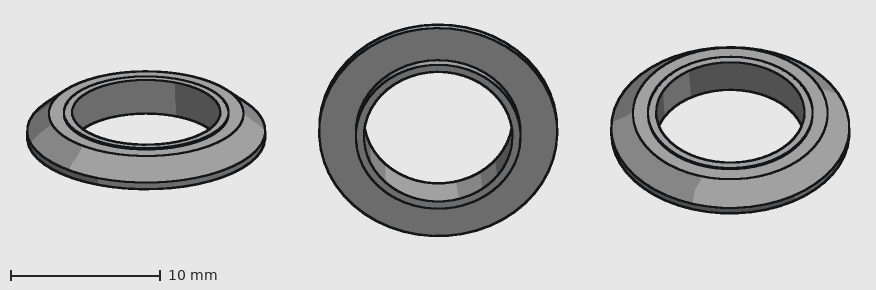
import cadquery as cq

bore_diameter = 9.9
sleeve_diameter = 11.0
flange_top_diameter = 13.0
flange_diameter = 15.9

total_height = 2.5
lower_sleeve_height = 0.63
rim_height = 0.5
upper_lip_height = 0.1

rim_top = lower_sleeve_height + rim_height
flange_top = total_height - upper_lip_height


def make_sleeve():
    """Straight tube that runs the full height of the part."""
    return cq.Workplane("XY").circle(sleeve_diameter / 2).extrude(total_height)


def make_flange():
    """Disc with a short vertical rim and a conical shoulder above it."""
    profile = (
        cq.Workplane("XZ")
        .moveTo(0, lower_sleeve_height)
        .lineTo(flange_diameter / 2, lower_sleeve_height)
        .lineTo(flange_diameter / 2, rim_top)
        .lineTo(flange_top_diameter / 2, flange_top)
        .lineTo(0, flange_top)
        .close()
    )
    return profile.revolve(360, (0, 0, 0), (0, 1, 0))


def make_bore():
    """Through hole along the axis."""
    return cq.Workplane("XY").circle(bore_diameter / 2).extrude(total_height)


result = make_sleeve().union(make_flange()).cut(make_bore())